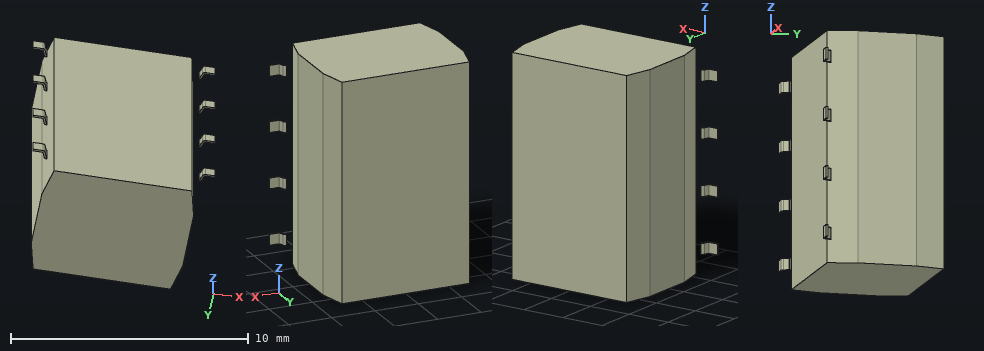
import cadquery as cq
import math

housing_height = 10.0
housing_width = 6.5
housing_depth = 5.1
face_width = 5.9
taper_depth = housing_depth / 4

lead_count = 4
lead_pitch = 2.54
lead_width = 0.5
lead_thickness = 0.09
lead_span = 7.8
lead_drop = 0.3
lead_rise = 0.3
bend_angle = math.radians(71)
inner_radius = 0.03
root_length = 0.02

outer_radius = inner_radius + lead_thickness
foot_tip_x = lead_span / 2
lead_root_x = housing_width / 2
foot_bottom_y = -housing_depth / 2 - lead_drop


def make_housing():
    """Prism whose two side faces taper in towards its front and back faces."""
    side_x = housing_width / 2
    face_x = face_width / 2
    face_y = housing_depth / 2
    taper_y = face_y - taper_depth
    outline = [
        (face_x, -face_y),
        (side_x, -taper_y),
        (side_x, taper_y),
        (face_x, face_y),
        (-face_x, face_y),
        (-side_x, taper_y),
        (-side_x, -taper_y),
        (-face_x, -face_y),
    ]
    base = cq.Workplane("XY").workplane(offset=-housing_height / 2)
    return base.polyline(outline).close().extrude(housing_height)


def arc_point(centre, radius, angle):
    """Point on a circle, with the angle measured from +Y towards -X."""
    return (centre[0] - radius * math.sin(angle), centre[1] + radius * math.cos(angle))


def make_lead(centre_z):
    """Right-hand lead: flat foot, lower bend, sloping shank, upper bend and short flat root."""
    bends_radius = inner_radius + outer_radius
    shank_length = (lead_rise - bends_radius * (1 - math.cos(bend_angle))) / math.sin(bend_angle)
    bends_run = bends_radius * math.sin(bend_angle) + shank_length * math.cos(bend_angle)

    upper_centre = (lead_root_x + root_length, foot_bottom_y + lead_rise - inner_radius)
    lower_centre = (upper_centre[0] + bends_run, foot_bottom_y + outer_radius)
    foot_top_y = foot_bottom_y + lead_thickness
    root_bottom_y = foot_bottom_y + lead_rise
    root_top_y = root_bottom_y + lead_thickness

    lower_mid = math.pi - bend_angle / 2
    lower_end = math.pi - bend_angle
    upper_mid = -bend_angle / 2
    upper_end = -bend_angle

    profile = (
        cq.Workplane("XY")
        .workplane(offset=centre_z - lead_width / 2)
        .moveTo(foot_tip_x, foot_bottom_y)
        .lineTo(lower_centre[0], foot_bottom_y)
        .threePointArc(
            arc_point(lower_centre, outer_radius, lower_mid),
            arc_point(lower_centre, outer_radius, lower_end),
        )
        .lineTo(*arc_point(upper_centre, inner_radius, upper_end))
        .threePointArc(
            arc_point(upper_centre, inner_radius, upper_mid),
            (upper_centre[0], root_bottom_y),
        )
        .lineTo(lead_root_x, root_bottom_y)
        .lineTo(lead_root_x, root_top_y)
        .lineTo(upper_centre[0], root_top_y)
        .threePointArc(
            arc_point(upper_centre, outer_radius, upper_mid),
            arc_point(upper_centre, outer_radius, upper_end),
        )
        .lineTo(*arc_point(lower_centre, inner_radius, lower_end))
        .threePointArc(
            arc_point(lower_centre, inner_radius, lower_mid),
            (lower_centre[0], foot_top_y),
        )
        .lineTo(foot_tip_x, foot_top_y)
        .close()
    )
    return profile.extrude(lead_width)


housing = make_housing()

leads = []
for index in range(lead_count):
    lead = make_lead((index - (lead_count - 1) / 2) * lead_pitch)
    leads.append(lead.val())
    leads.append(lead.mirror("YZ").val())

result = cq.Compound.makeCompound([housing.val(), *leads])